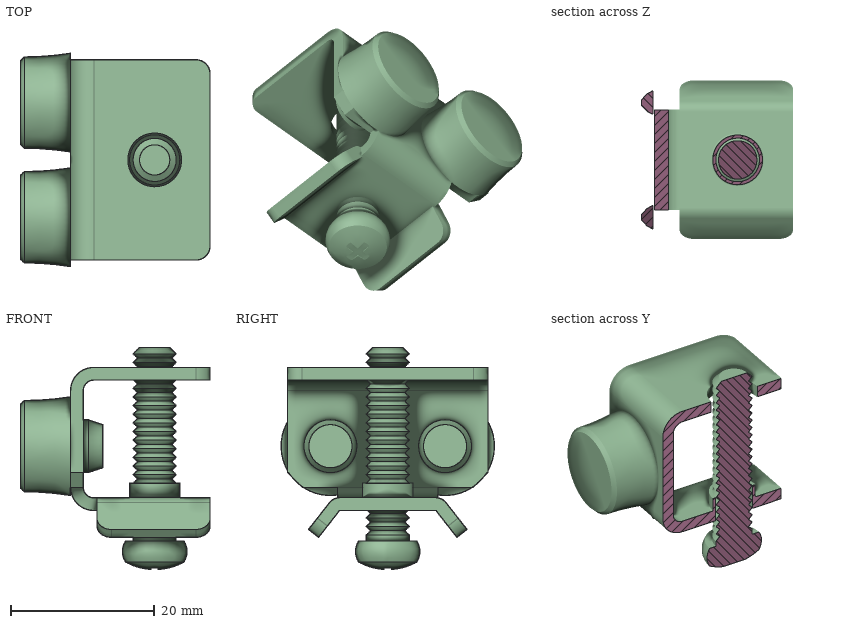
import cadquery as cq
import math


thickness = 1.8
bracket_height = 20.0
bracket_width = 28.0
wall_outer_x = -11.75
front_edge_x = 7.75
bend_radius = 3.25
corner_radius = 2.0
wall_corner_chamfer = 2.08
tongue_width = 14.0
top_hole_diameter = 7.5

wing_length = 15.8
wing_angle = 52
wing_fold_y = 6.73
wing_reach = 4.75

collar_diameter = 7.0
collar_height = 2.05
collar_fillet = 0.2

screw_diameter = 6.0
screw_top_z = 22.8
tip_chamfer = 0.9
thread_length = 25.3
thread_count = 21
head_top_z = -4.22
head_height = 4.03
head_dome_height = 1.05
head_rim_radius = 4.05
head_max_radius = 4.53
recess_width = 1.0
recess_depth = 0.22

buffer_spacing = 16.0
buffer_z = 9.0
buffer_length = 7.0
buffer_base_diameter = 13.8
buffer_base_radius = buffer_base_diameter / 2
buffer_end_radius = 6.4
buffer_chamfer = 0.55
stem_diameter = 7.38
stem_end_diameter = 6.0
stem_projection = 2.73
stem_straight = 0.68

edge_margin = 0.15

wall_inner_x = wall_outer_x + thickness
buffer_ys = [-buffer_spacing / 2, buffer_spacing / 2]


def box(x0, x1, y0, y1, z0, z1):
    return cq.Workplane("XY").box(x1 - x0, y1 - y0, z1 - z0, centered=False).translate((x0, y0, z0))


def z_cylinder(diameter, z0, z1):
    return cq.Workplane("XY", origin=(0, 0, z0)).circle(diameter / 2).extrude(z1 - z0)


def make_channel():
    """C-shaped strip trimmed to its width outline, with rounded top flange corners."""
    channel = (
        box(wall_outer_x, front_edge_x, -bracket_width / 2, bracket_width / 2, 0, bracket_height)
        .edges("<X and |Y")
        .fillet(bend_radius)
    )
    cavity = (
        box(wall_inner_x, front_edge_x + thickness, -bracket_width / 2, bracket_width / 2,
            thickness, bracket_height - thickness)
        .edges("<X and |Y")
        .fillet(bend_radius - thickness)
    )
    channel = channel.cut(cavity)

    outline = (
        cq.Workplane("YZ", origin=(wall_outer_x, 0, 0))
        .moveTo(-bracket_width / 2, bracket_height)
        .lineTo(-bracket_width / 2, bend_radius + wall_corner_chamfer)
        .lineTo(-bracket_width / 2 + wall_corner_chamfer, bend_radius)
        .lineTo(-tongue_width / 2, bend_radius)
        .lineTo(-tongue_width / 2, 0)
        .lineTo(0, 0)
        .lineTo(0, bracket_height)
        .close()
        .extrude(front_edge_x - wall_outer_x)
    )
    channel = channel.intersect(outline.union(outline.mirror("XZ")))
    top_flange_front = cq.selectors.BoxSelector(
        (front_edge_x - edge_margin, -bracket_width, bracket_height - thickness),
        (front_edge_x + edge_margin, bracket_width, bracket_height),
    )
    return channel.edges(top_flange_front).edges("|Z").fillet(corner_radius)


def make_wing_flange():
    """Lower flange with a wing folded down along each side."""
    angle = math.radians(wing_angle)

    def fold_point(turn):
        return (wing_fold_y + thickness * math.sin(turn), thickness * math.cos(turn))

    reach_y = wing_reach * math.cos(angle)
    reach_z = -wing_reach * math.sin(angle)
    fold_end = fold_point(angle)
    half = (
        cq.Workplane("YZ", origin=(front_edge_x - wing_length, 0, 0))
        .moveTo(0, 0)
        .lineTo(0, thickness)
        .lineTo(wing_fold_y, thickness)
        .threePointArc(fold_point(angle / 2), fold_end)
        .lineTo(fold_end[0] + reach_y, fold_end[1] + reach_z)
        .lineTo(wing_fold_y + reach_y, reach_z)
        .lineTo(wing_fold_y, 0)
        .close()
        .extrude(wing_length)
    )
    tip_y = wing_fold_y + reach_y + thickness * math.sin(angle) / 2
    tip_z = reach_z + thickness * math.cos(angle) / 2
    tip_edges = cq.selectors.BoxSelector(
        (front_edge_x - wing_length - edge_margin, tip_y - edge_margin, tip_z - edge_margin),
        (front_edge_x + edge_margin, tip_y + edge_margin, tip_z + edge_margin),
    )
    half = half.edges(tip_edges).fillet(corner_radius)
    return half.union(half.mirror("XZ"))


def make_bracket():
    wing_start_x = front_edge_x - wing_length
    tongue_end = box(wing_start_x, front_edge_x, -tongue_width / 2, tongue_width / 2, 0, thickness)
    bracket = make_channel().cut(tongue_end).union(make_wing_flange())

    bracket = bracket.union(z_cylinder(collar_diameter, thickness / 2, thickness + collar_height))
    base_reach = collar_diameter / 2 + edge_margin
    collar_base = cq.selectors.BoxSelector(
        (-base_reach, -base_reach, thickness - edge_margin),
        (base_reach, base_reach, thickness + edge_margin),
        boundingbox=True,
    )
    bracket = bracket.edges(collar_base).fillet(collar_fillet)

    bracket = bracket.cut(z_cylinder(screw_diameter, 0, thickness + collar_height))
    bracket = bracket.cut(z_cylinder(top_hole_diameter, bracket_height - thickness, bracket_height))
    stem_holes = (
        cq.Workplane("YZ", origin=(wall_outer_x, 0, 0))
        .pushPoints([(y, buffer_z) for y in buffer_ys])
        .circle(stem_diameter / 2)
        .extrude(thickness)
    )
    return bracket.cut(stem_holes)


def make_screw():
    radius = screw_diameter / 2
    pitch = thread_length / thread_count
    first_crest_z = screw_top_z - tip_chamfer
    root_radius = radius - pitch / 2
    head_bottom_z = head_top_z - head_height
    dome_z = head_bottom_z + head_dome_height

    profile = (
        cq.Workplane("XZ")
        .moveTo(0, screw_top_z)
        .lineTo(radius - tip_chamfer, screw_top_z)
        .lineTo(radius, first_crest_z)
    )
    for turn in range(thread_count):
        crest_z = first_crest_z - turn * pitch
        profile = profile.lineTo(root_radius, crest_z - pitch / 2).lineTo(radius, crest_z - pitch)

    dome_radius = (head_rim_radius**2 + head_dome_height**2) / (2 * head_dome_height)
    dome_mid_radius = head_rim_radius / 2
    dome_mid_z = head_bottom_z + dome_radius - math.sqrt(dome_radius**2 - dome_mid_radius**2)
    screw = (
        profile
        .lineTo(radius, head_top_z)
        .lineTo(head_rim_radius, head_top_z)
        .threePointArc((head_max_radius, (head_top_z + dome_z) / 2), (head_rim_radius, dome_z))
        .threePointArc((dome_mid_radius, dome_mid_z), (0, head_bottom_z))
        .close()
        .revolve(360, (0, 0), (0, 1))
    )

    recess_half = recess_width / 2
    floor_z = head_bottom_z + recess_depth
    slot = box(-head_rim_radius, head_rim_radius, -recess_half, recess_half, head_bottom_z, floor_z)
    return screw.cut(slot).cut(slot.rotate((0, 0, 0), (0, 0, 1), 90))


def make_buffer(y):
    """Flared head outside the wall and a tapered stem through it."""
    flare_length = buffer_length - buffer_chamfer
    flare = buffer_base_radius - buffer_end_radius
    flare_radius = (flare_length**2 + flare**2) / (2 * flare)
    flare_mid = flare_radius - math.sqrt(flare_radius**2 - (flare_length / 2)**2)
    stem_radius = stem_diameter / 2

    return (
        cq.Workplane("XZ")
        .moveTo(-buffer_length, 0)
        .lineTo(-buffer_length, buffer_end_radius - buffer_chamfer)
        .lineTo(-flare_length, buffer_end_radius)
        .threePointArc((-flare_length / 2, buffer_end_radius + flare_mid), (0, buffer_base_radius))
        .lineTo(0, stem_radius)
        .lineTo(thickness + stem_straight, stem_radius)
        .lineTo(thickness + stem_projection, stem_end_diameter / 2)
        .lineTo(thickness + stem_projection, 0)
        .close()
        .revolve(360, (0, 0), (1, 0))
        .translate((wall_outer_x, y, buffer_z))
    )


bracket = make_bracket()
screw = make_screw()
buffers = [make_buffer(y) for y in buffer_ys]

result = cq.Compound.makeCompound([bracket.val(), screw.val(), *[buffer.val() for buffer in buffers]])